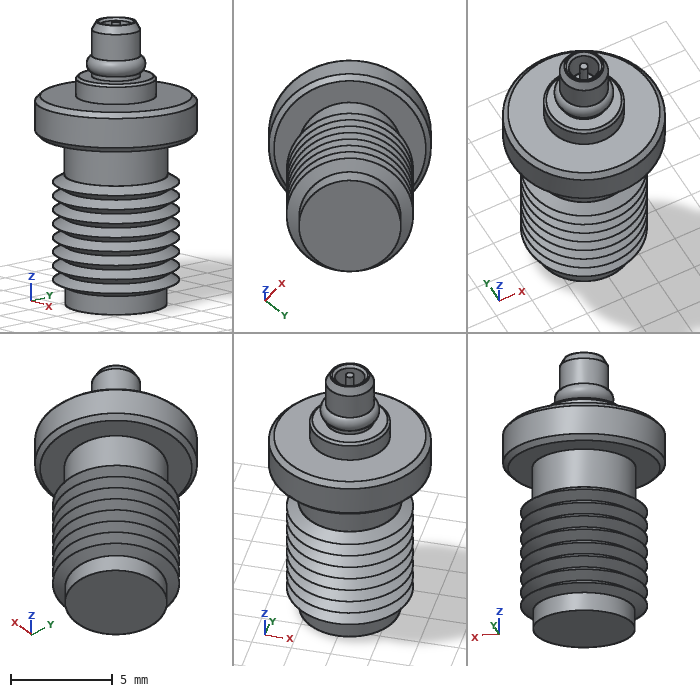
import cadquery as cq

total_height = 14.25
thread_bottom = 0.94
flange_bottom = 8.51
flange_thickness = 2.0
neck_length = 2.0
collar_height = 1.0
ring_bottom = 11.71
ring_top = 12.53

tail_radius = 2.51
root_radius = 2.54
crest_radius = 3.12
neck_radius = 2.55
flange_radius = 3.997
collar_radius = 1.98
barrel_radius = 1.2
ring_radius = 1.45
tip_radius = 0.97

flange_chamfer = 0.25
collar_chamfer = 0.13
tip_chamfer_height = 0.4

thread_count = 8
thread_pitch = 0.705

mouth_radius = 0.88
bore_radius = 0.74
mouth_depth = 0.13
socket_depth = 1.57
insulator_top_radius = 0.53
insulator_height = 0.35
pin_radius = 0.2

flange_top = flange_bottom + flange_thickness
collar_top = flange_top + collar_height
thread_top = flange_bottom - neck_length
socket_floor = total_height - socket_depth
insulator_top = socket_floor + insulator_height


def cylinder(radius, bottom, top):
    return cq.Workplane("XY").workplane(offset=bottom).circle(radius).extrude(top - bottom)


def revolve_about_z(profile):
    return profile.close().revolve(360, (0, 0, 0), (0, 1, 0))


def make_threaded_shank():
    """Ridges built downward from the neck; the last flank is steeper and runs into the plain tail."""
    profile = cq.Workplane("XZ").moveTo(0, thread_top).lineTo(root_radius, thread_top)
    for index in range(thread_count):
        crest_height = thread_top - (index + 0.5) * thread_pitch
        profile = profile.lineTo(crest_radius, crest_height)
        if index < thread_count - 1:
            profile = profile.lineTo(root_radius, crest_height - thread_pitch / 2)
    profile = profile.lineTo(tail_radius, thread_bottom).lineTo(tail_radius, 0).lineTo(0, 0)
    return revolve_about_z(profile)


def make_flange_and_collar():
    flange = cylinder(flange_radius, flange_bottom, flange_top).edges().chamfer(flange_chamfer)
    collar = cylinder(collar_radius, flange_top, collar_top).faces(">Z").edges().chamfer(collar_chamfer)
    return flange.union(collar)


def make_barrel():
    """Plug barrel with a rounded snap ring and a tapered tip."""
    profile = (
        cq.Workplane("XZ")
        .moveTo(0, collar_top)
        .lineTo(barrel_radius, collar_top)
        .lineTo(barrel_radius, ring_bottom)
        .threePointArc((ring_radius, (ring_bottom + ring_top) / 2), (barrel_radius, ring_top))
        .lineTo(barrel_radius, total_height - tip_chamfer_height)
        .lineTo(tip_radius, total_height)
        .lineTo(0, total_height)
    )
    return revolve_about_z(profile)


def make_socket():
    """Cavity in the tip, leaving the insulator cone and the contact pin standing."""
    profile = (
        cq.Workplane("XZ")
        .moveTo(pin_radius, total_height)
        .lineTo(pin_radius, insulator_top)
        .lineTo(insulator_top_radius, insulator_top)
        .lineTo(bore_radius, socket_floor)
        .lineTo(bore_radius, total_height - mouth_depth)
        .lineTo(mouth_radius, total_height)
    )
    return revolve_about_z(profile)


neck = cylinder(neck_radius, thread_top, flange_bottom)
body = make_threaded_shank().union(neck).union(make_flange_and_collar()).union(make_barrel())
result = body.cut(make_socket())